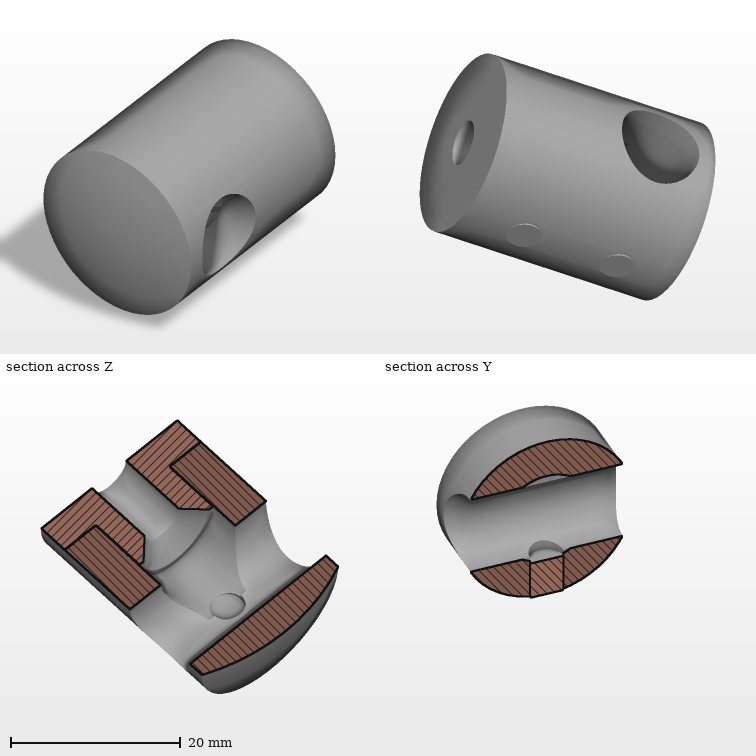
import cadquery as cq
import math


body_diameter = 22.0
body_radius = body_diameter / 2
flange_thickness = 4.1
spigot_diameter = 12.0
spigot_length = 7.5
countersink_diameter = 10.5
countersink_angle = 90.0
mounting_hole_diameter = 5.5

shoulder_distance = 27.8
dome_radius = 27.5
rail_hole_diameter = 10.3
rail_hole_distance = 20.5

screw_diameter = 4.2
spigot_screw_distance = 8.1
screw_distances = [spigot_screw_distance, rail_hole_distance]
screw_length = body_radius - spigot_diameter / 2


def cylinder_along_y(diameter, back_distance, length):
    """Cylinder on the main axis, running toward -Y from back_distance."""
    return (
        cq.Workplane("XZ", origin=(0, -back_distance, 0))
        .circle(diameter / 2)
        .extrude(length)
    )


def screw_shape(distance, length):
    """Upright cylinder of the screw diameter, starting at the lowest point of the body."""
    return (
        cq.Workplane("XY", origin=(0, -distance, -body_radius))
        .circle(screw_diameter / 2)
        .extrude(length)
    )


def make_base():
    """Flange with a spigot and a countersunk mounting hole along the axis."""
    base_length = flange_thickness + spigot_length
    flange = cylinder_along_y(body_diameter, 0, flange_thickness)
    spigot = cylinder_along_y(spigot_diameter, flange_thickness, spigot_length)
    return (
        flange.union(spigot)
        .copyWorkplane(cq.Workplane("XZ", origin=(0, -base_length, 0)))
        .cskHole(mounting_hole_diameter, countersink_diameter, countersink_angle)
    )


def make_housing_blank():
    """Cylinder with a shallow spherical dome, turned about the Y axis."""
    dome_height = dome_radius - math.sqrt(dome_radius**2 - body_radius**2)
    dome_tip = -shoulder_distance - dome_height
    dome_center = dome_tip + dome_radius
    half_angle = math.asin(body_radius / dome_radius) / 2
    dome_middle = (
        dome_radius * math.sin(half_angle),
        dome_center - dome_radius * math.cos(half_angle),
    )
    return (
        cq.Workplane("XY")
        .moveTo(0, -flange_thickness)
        .lineTo(body_radius, -flange_thickness)
        .lineTo(body_radius, -shoulder_distance)
        .threePointArc(dome_middle, (0, dome_tip))
        .close()
        .revolve(360, (0, 0, 0), (0, 1, 0))
    )


def make_housing():
    """Domed housing with a spigot bore, a rail hole across it and two screw holes."""
    bore_length = rail_hole_distance - flange_thickness
    spigot_bore = cylinder_along_y(spigot_diameter, flange_thickness, bore_length)
    rail_hole = (
        cq.Workplane("YZ", origin=(0, -rail_hole_distance, 0))
        .circle(rail_hole_diameter / 2)
        .extrude(body_radius, both=True)
    )
    housing = make_housing_blank().cut(spigot_bore).cut(rail_hole)
    for distance in screw_distances:
        housing = housing.cut(screw_shape(distance, body_radius))
    return housing


def make_set_screw(distance):
    """Plain set screw whose outer end lies level with the bottom of the body."""
    return screw_shape(distance, screw_length)


base = make_base()
housing = make_housing()
set_screws = [make_set_screw(distance) for distance in screw_distances]

result = cq.Compound.makeCompound(
    [base.val(), housing.val(), *[screw.val() for screw in set_screws]]
)